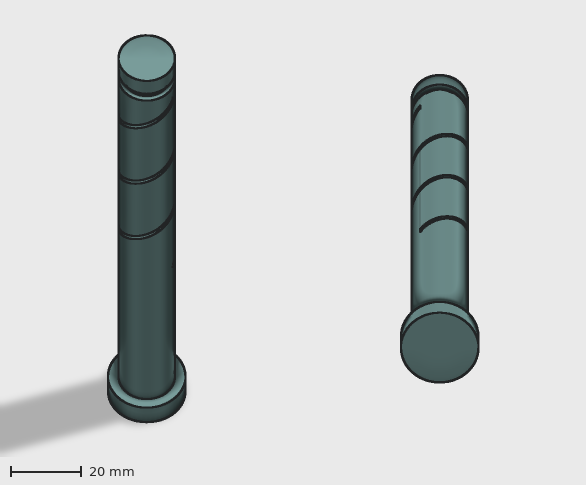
import cadquery as cq

total_length = 160.0
head_diameter = 22.0
head_height = 7.0
shaft_diameter = 16.0
cap_height = 6.2
neck_width = 3.3
neck_diameter = 12.8

groove_turns = 3
groove_length = 80.0
groove_pitch = groove_length / groove_turns
groove_start_z = 64.0
groove_radius = 0.8
groove_inset = 0.2

shaft_radius = shaft_diameter / 2
groove_path_radius = shaft_radius - groove_inset
cap_bottom_z = total_length - cap_height
neck_bottom_z = cap_bottom_z - neck_width


def cylinder(diameter, bottom_z, top_z):
    """Disc centred on the pin axis between two heights."""
    return cq.Workplane("XY").workplane(offset=bottom_z).circle(diameter / 2).extrude(top_z - bottom_z)


def pin_body():
    """Headed pin with a retaining neck below its end cap."""
    head = cylinder(head_diameter, 0, head_height)
    shaft = cylinder(shaft_diameter, head_height, neck_bottom_z)
    neck = cylinder(neck_diameter, neck_bottom_z, cap_bottom_z)
    cap = cylinder(shaft_diameter, cap_bottom_z, total_length)
    return head.union(shaft).union(neck).union(cap)


def helical_groove():
    """Round-bottomed cutter following a helix just under the shaft surface, starting on +X."""
    path = cq.Wire.makeHelix(groove_pitch, groove_length, groove_path_radius)
    profile = cq.Workplane("XZ").center(groove_path_radius, 0).circle(groove_radius)
    cutter = profile.sweep(cq.Workplane(obj=path), isFrenet=True)
    return cutter.translate((0, 0, groove_start_z))


result = pin_body().cut(helical_groove())